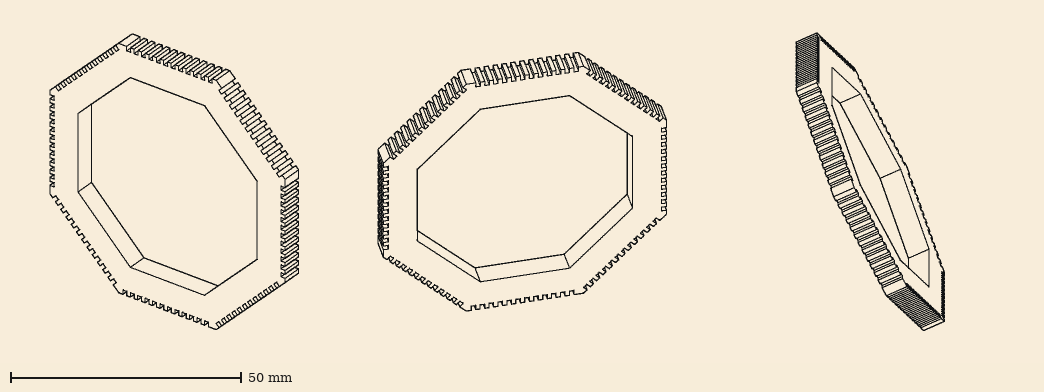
import cadquery as cq
import math

across_flats = 63.35
thickness = 5.0
rim_width = 7.6
side_count = 8

groove_count = 12
groove_width = 1.0
groove_row_length = 22.0
groove_depth = 1.15
groove_row_offset = 0.5

groove_pitch = groove_row_length / (groove_count - 1)
side_angle = 360.0 / side_count


def octagon_prism(flat_to_flat):
    """Octagonal prism along Y, centred on the origin, with flats facing X and Z."""
    corner_diameter = flat_to_flat / math.cos(math.pi / side_count)
    return (
        cq.Workplane("XZ")
        .transformed(rotate=(0, 0, side_angle / 2))
        .polygon(side_count, corner_diameter)
        .extrude(thickness / 2, both=True)
    )


def top_side_grooves():
    """Row of rectangular grooves cut into the flat that faces +Z."""
    first_groove_x = groove_row_offset - groove_row_length / 2
    groove_centres = [
        (first_groove_x + i * groove_pitch, across_flats / 2)
        for i in range(groove_count)
    ]
    return (
        cq.Workplane("XZ")
        .pushPoints(groove_centres)
        .rect(groove_width, 2 * groove_depth)
        .extrude(thickness / 2, both=True)
    )


inner_across_flats = across_flats - 2 * rim_width
result = octagon_prism(across_flats).cut(octagon_prism(inner_across_flats))

grooves = top_side_grooves()
for side in range(side_count):
    result = result.cut(grooves.rotate((0, 0, 0), (0, 1, 0), side * side_angle))